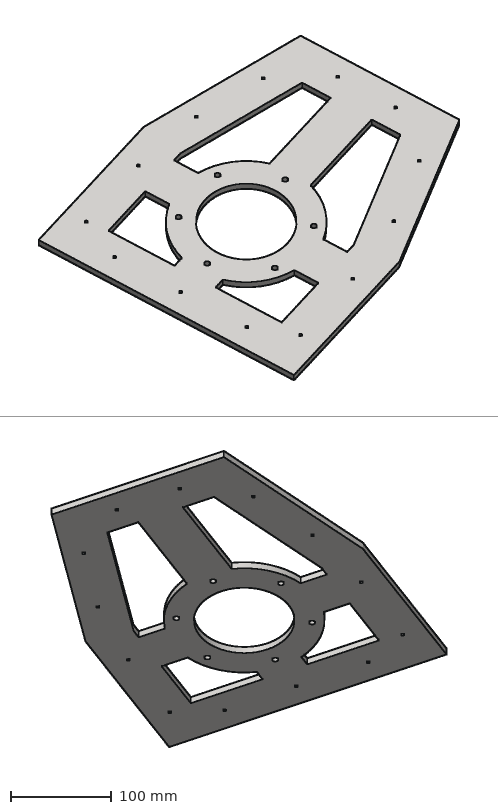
import cadquery as cq

width = 310.0
length = 370.0
thickness = 8.0
top_width = 192.8
shoulder_height = 182.0
bore_height = 138.5

border = 50.0
spoke_width = 50.0
hub_diameter = 160.0
bore_diameter = 100.0

bolt_count = 6
bolt_circle_diameter = 135.0
bolt_hole_diameter = 6.0

mount_hole_diameter = 3.0
bottom_y = -bore_height
top_y = bottom_y + length
side_hole_x = width / 2 - border / 2
bottom_hole_x = 80.3
bottom_hole_y = bottom_y + border / 2
mirrored_mount_points = [
    (35.0, 208.3),
    (94.7, 164.3),
    (120.0, 84.7),
    (side_hole_x, -1.0),
    (side_hole_x, -91.5),
    (bottom_hole_x, bottom_hole_y),
]
center_mount_point = (0, bottom_hole_y)


def extrude(sketch):
    """Extrude a closed outline through the plate, centred on Z = 0."""
    return sketch.extrude(thickness / 2, both=True)


def plate_outline():
    shoulder_y = bottom_y + shoulder_height
    return cq.Workplane("XY").polyline([
        (-width / 2, bottom_y),
        (width / 2, bottom_y),
        (width / 2, shoulder_y),
        (top_width / 2, top_y),
        (-top_width / 2, top_y),
        (-width / 2, shoulder_y),
    ]).close()


def frame():
    opening = extrude(plate_outline().offset2D(-border, "intersection"))
    return extrude(plate_outline()).cut(opening)


def spokes_and_hub():
    cross_spoke = cq.Workplane("XY").box(width, spoke_width, thickness)
    mid_y = bottom_y + length / 2
    long_spoke = cq.Workplane("XY").center(0, mid_y).box(spoke_width, length, thickness)
    hub = extrude(cq.Workplane("XY").circle(hub_diameter / 2))
    return cross_spoke.union(long_spoke).union(hub)


def bore_and_bolt_holes():
    bore = extrude(cq.Workplane("XY").circle(bore_diameter / 2))
    bolts = cq.Workplane("XY").polarArray(bolt_circle_diameter / 2, 90, 360, bolt_count)
    return bore.union(extrude(bolts.circle(bolt_hole_diameter / 2)))


def mount_holes():
    points = [center_mount_point]
    for x, y in mirrored_mount_points:
        points += [(x, y), (-x, y)]
    return extrude(cq.Workplane("XY").pushPoints(points).circle(mount_hole_diameter / 2))


result = frame().union(spokes_and_hub()).cut(bore_and_bolt_holes()).cut(mount_holes())